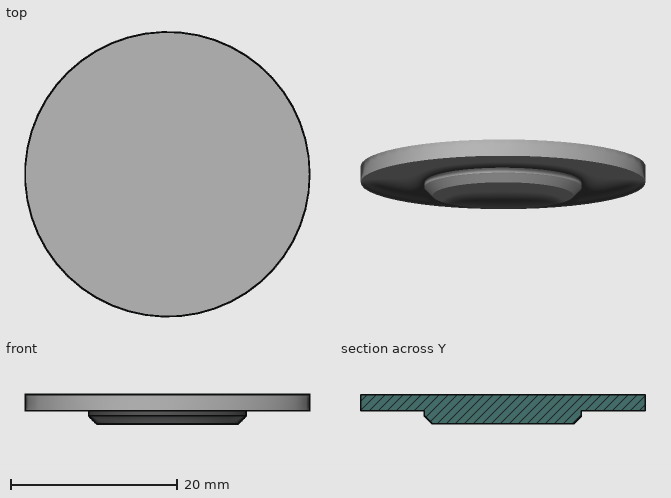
import cadquery as cq

disc_diameter = 34.31
disc_thickness = 2.0
total_height = 3.6
boss_diameter = 18.97
boss_chamfer = 1.0

boss_height = total_height - disc_thickness


def make_disc():
    """Plain round disc with its underside on Z = 0."""
    return cq.Workplane("XY").circle(disc_diameter / 2).extrude(disc_thickness)


def make_boss():
    """Round boss hanging below the disc, with its lower edge chamfered."""
    boss = cq.Workplane("XY").circle(boss_diameter / 2).extrude(-boss_height)
    return boss.faces("<Z").chamfer(boss_chamfer)


result = make_disc().union(make_boss())